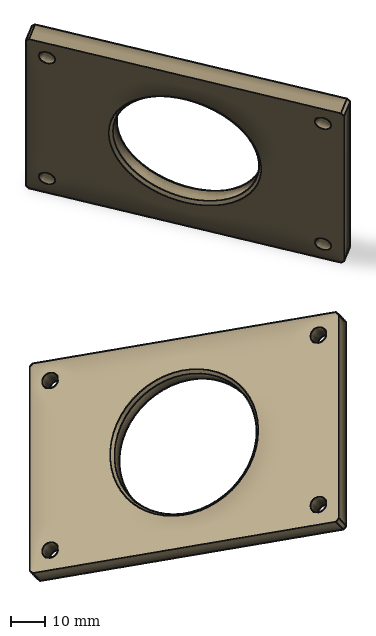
import cadquery as cq

length = 98.0
thickness = 6.0
height = 68.0
corner_chamfer = 1.0

bore_diameter = 45.0
bore_chamfer = 1.0

hole_diameter = 5.0
hole_spacing_x = 85.0
hole_spacing_z = 55.0


def make_plate():
    """Plate centred on the origin, with its four corners chamfered."""
    return cq.Workplane("XY").box(length, thickness, height).edges("|Y").chamfer(corner_chamfer)


def cut_bore(body):
    """Cut the through bore and chamfer both of its rims."""
    bored = body.faces("<Y").workplane(centerOption="CenterOfBoundBox").hole(bore_diameter)
    return bored.faces("|Y").edges("%CIRCLE").chamfer(bore_chamfer)


def cut_mounting_holes(body):
    """Cut the four plain through holes."""
    return (
        body.faces("<Y")
        .workplane(centerOption="CenterOfBoundBox")
        .rect(hole_spacing_x, hole_spacing_z, forConstruction=True)
        .vertices()
        .hole(hole_diameter)
    )


result = cut_mounting_holes(cut_bore(make_plate()))